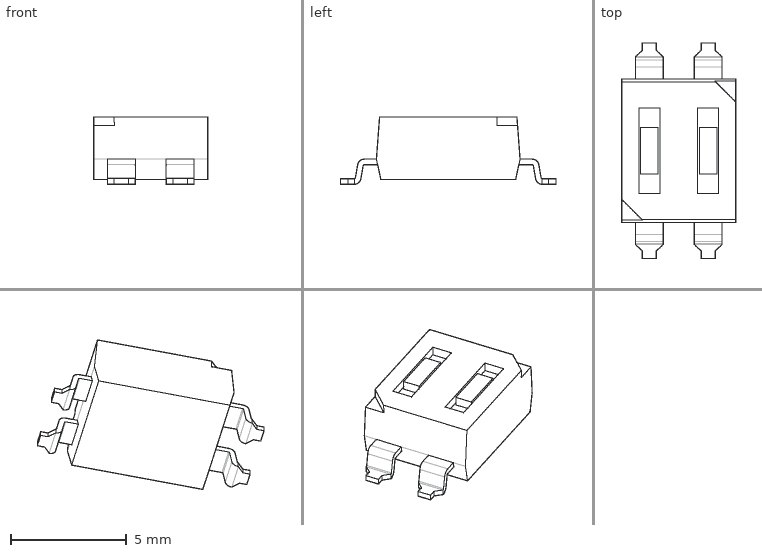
import cadquery as cq
import math

overall_length = 9.3
total_height = 2.91
pole_pitch = 2.54
pole_positions = (-pole_pitch / 2, pole_pitch / 2)

body_width = 4.93
parting_length = 6.2
top_length = 5.93
bottom_length = 5.82
standoff = 0.2
parting_height = 1.1

notch_leg = 0.87
notch_depth = 0.37

slot_width = 0.9
slot_length = 3.7
slot_depth = 0.4
slider_width = 0.75
slider_length = 2.0

lead_width = 1.21
lead_thickness = 0.25
inner_bend_radius = 0.05
outer_bend_radius = inner_bend_radius + lead_thickness
shoulder_end = 3.62
leg_tilt = math.radians(10)
lead_root = 2.325
tip_width = 0.61
tip_length = 0.33
taper_length = 0.28


def make_housing():
    """Hexagonal side profile extruded across the full width."""
    return (
        cq.Workplane("YZ")
        .moveTo(-bottom_length / 2, standoff)
        .lineTo(bottom_length / 2, standoff)
        .lineTo(parting_length / 2, parting_height)
        .lineTo(top_length / 2, total_height)
        .lineTo(-top_length / 2, total_height)
        .lineTo(-parting_length / 2, parting_height)
        .close()
        .extrude(body_width / 2, both=True)
    )


def make_corner_notch():
    """45-degree notch tool at the -X, -Y top corner, reaching past the drafted end face."""
    side = -body_width / 2
    end = -top_length / 2
    reach = parting_length / 2 - top_length / 2
    return (
        cq.Workplane("XY", origin=(0, 0, total_height - notch_depth))
        .moveTo(side, end + notch_leg)
        .lineTo(side + notch_leg + reach, end - reach)
        .lineTo(side, end - reach)
        .close()
        .extrude(notch_depth)
    )


def make_slot_recess():
    """Ring-shaped recess tools that leave a slider standing flush in each slot."""
    floor = cq.Workplane("XY", origin=(0, 0, total_height - slot_depth))
    centres = [(x, 0) for x in pole_positions]
    slots = floor.pushPoints(centres).rect(slot_width, slot_length).extrude(slot_depth)
    sliders = floor.pushPoints(centres).rect(slider_width, slider_length).extrude(slot_depth)
    return slots.cut(sliders)


def point_on_bend(centre, radius, angle):
    return (centre[0] + radius * math.cos(angle), centre[1] + radius * math.sin(angle))


def make_lead():
    """Lead on the +Y end, centred on X = 0: bent strip trimmed to a necked tip."""
    tip_end = overall_length / 2
    upper_centre = (shoulder_end, parting_height - outer_bend_radius)
    drop = upper_centre[1] - outer_bend_radius
    bend_spacing = (outer_bend_radius + inner_bend_radius + drop * math.sin(leg_tilt)) / math.cos(leg_tilt)
    lower_centre = (shoulder_end + bend_spacing, outer_bend_radius)

    upper_start = math.pi / 2
    upper_end = leg_tilt
    upper_middle = (upper_start + upper_end) / 2
    lower_start = upper_end + math.pi
    lower_middle = upper_middle + math.pi
    lower_end = upper_start + math.pi

    strip = (
        cq.Workplane("YZ")
        .moveTo(lead_root, parting_height)
        .lineTo(*point_on_bend(upper_centre, outer_bend_radius, upper_start))
        .threePointArc(
            point_on_bend(upper_centre, outer_bend_radius, upper_middle),
            point_on_bend(upper_centre, outer_bend_radius, upper_end),
        )
        .lineTo(*point_on_bend(lower_centre, inner_bend_radius, lower_start))
        .threePointArc(
            point_on_bend(lower_centre, inner_bend_radius, lower_middle),
            point_on_bend(lower_centre, inner_bend_radius, lower_end),
        )
        .lineTo(tip_end, lead_thickness)
        .lineTo(tip_end, 0)
        .lineTo(*point_on_bend(lower_centre, outer_bend_radius, lower_end))
        .threePointArc(
            point_on_bend(lower_centre, outer_bend_radius, lower_middle),
            point_on_bend(lower_centre, outer_bend_radius, lower_start),
        )
        .lineTo(*point_on_bend(upper_centre, inner_bend_radius, upper_end))
        .threePointArc(
            point_on_bend(upper_centre, inner_bend_radius, upper_middle),
            point_on_bend(upper_centre, inner_bend_radius, upper_start),
        )
        .lineTo(lead_root, parting_height - lead_thickness)
        .close()
        .extrude(lead_width / 2, both=True)
    )

    neck_start = tip_end - tip_length
    plan = (
        cq.Workplane("XY")
        .moveTo(-lead_width / 2, lead_root)
        .lineTo(-lead_width / 2, neck_start - taper_length)
        .lineTo(-tip_width / 2, neck_start)
        .lineTo(-tip_width / 2, tip_end)
        .lineTo(tip_width / 2, tip_end)
        .lineTo(tip_width / 2, neck_start)
        .lineTo(lead_width / 2, neck_start - taper_length)
        .lineTo(lead_width / 2, lead_root)
        .close()
        .extrude(parting_height)
    )
    return strip.intersect(plan)


result = make_housing().cut(make_slot_recess())

corner_notch = make_corner_notch()
lead = make_lead()
for turn in (0, 180):
    result = result.cut(corner_notch.rotate((0, 0, 0), (0, 0, 1), turn))
    for x in pole_positions:
        placed_lead = lead.translate((x, 0, 0)).rotate((0, 0, 0), (0, 0, 1), turn)
        result = result.union(placed_lead)